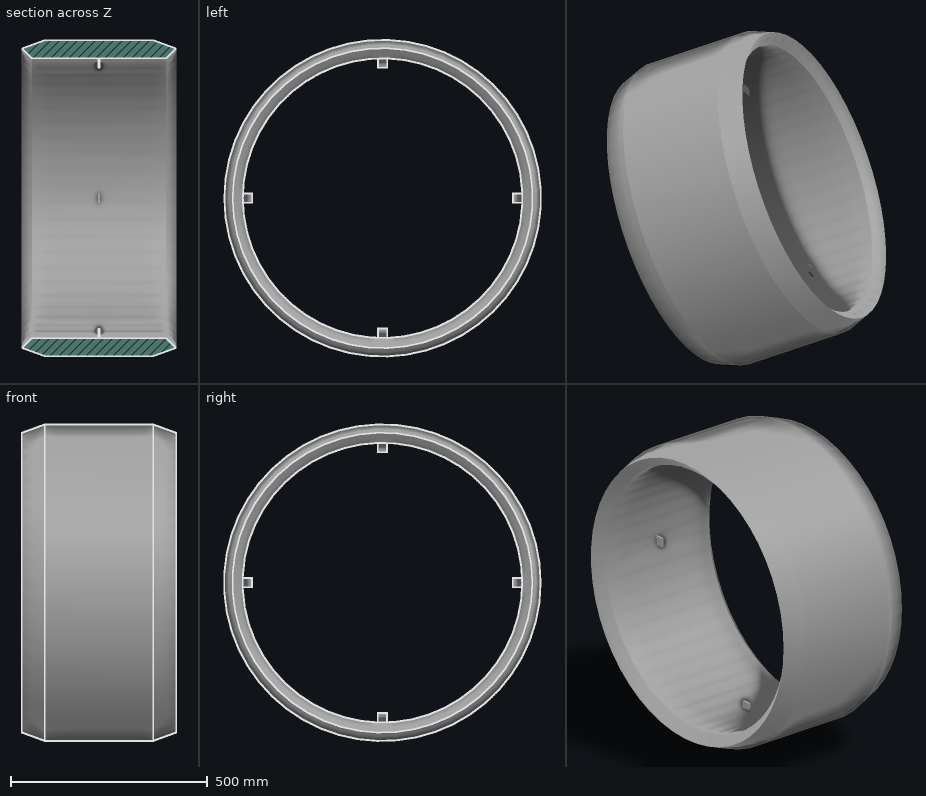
import cadquery as cq
import math

RING_WIDTH = 392.56
OUTER_RADIUS = 402.5
BORE_RADIUS = 355.0

OUTER_TAPER_LENGTH = 59.0
OUTER_TAPER_ANGLE = 20.0
INNER_TAPER_ANGLE = 45.0

LUG_COUNT = 4
LUG_SIZE = 24.0
LUG_THICKNESS = 6.0
LUG_OVERLAP = 5.0

HALF_WIDTH = RING_WIDTH / 2
RIM_RADIUS = OUTER_RADIUS - OUTER_TAPER_LENGTH * math.tan(math.radians(OUTER_TAPER_ANGLE))
INNER_TAPER_LENGTH = (RIM_RADIUS - BORE_RADIUS) / math.tan(math.radians(INNER_TAPER_ANGLE))


def make_ring():
    """Revolve the six-sided wall section about the X axis."""
    outer_end = HALF_WIDTH - OUTER_TAPER_LENGTH
    bore_end = HALF_WIDTH - INNER_TAPER_LENGTH
    section = [
        (-HALF_WIDTH, RIM_RADIUS),
        (-outer_end, OUTER_RADIUS),
        (outer_end, OUTER_RADIUS),
        (HALF_WIDTH, RIM_RADIUS),
        (bore_end, BORE_RADIUS),
        (-bore_end, BORE_RADIUS),
    ]
    return cq.Workplane("XY").polyline(section).close().revolve(360, (0, 0, 0), (1, 0, 0))


def make_lug(angle):
    """Square plate across the axis, rooted in the wall at the given angle about X."""
    height = LUG_SIZE + LUG_OVERLAP
    centre_radius = BORE_RADIUS - LUG_SIZE + height / 2
    lug = cq.Workplane("XY").box(LUG_THICKNESS, LUG_SIZE, height)
    return lug.translate((0, 0, centre_radius)).rotate((0, 0, 0), (1, 0, 0), angle)


result = make_ring()
for index in range(LUG_COUNT):
    result = result.union(make_lug(index * 360 / LUG_COUNT))